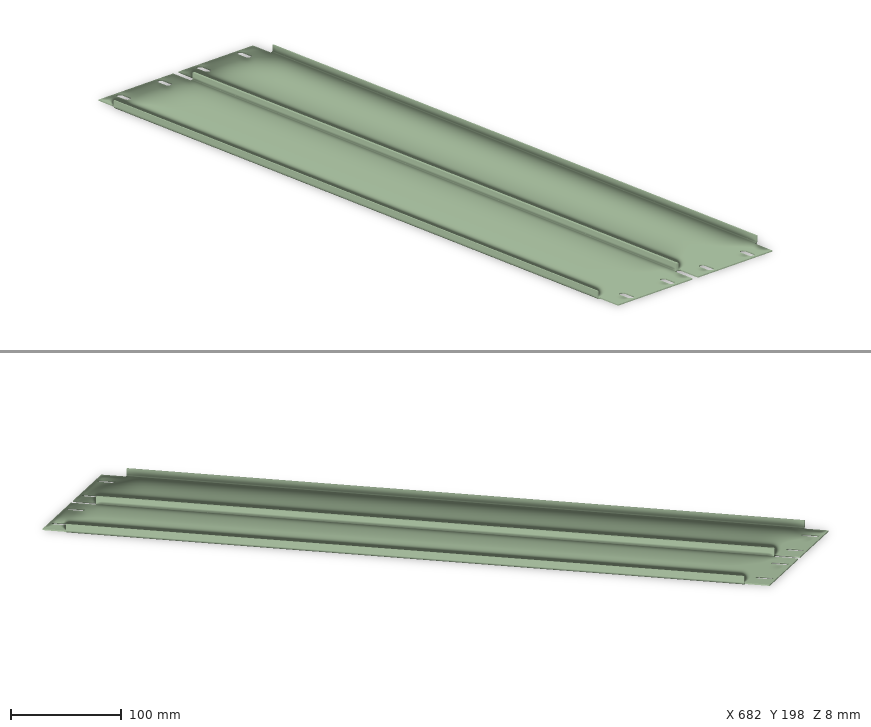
import cadquery as cq

panel_length = 682.0
pair_width = 198.0
lip_height = 8.0
panel_width = pair_width / 2

sheet_thickness = 1.2
bend_outer_radius = 2.25
bend_inner_radius = bend_outer_radius - sheet_thickness

notch_length = 23.0
notch_depth = 3.5
lip_length = panel_length - 2 * notch_length

slot_length = 16.5
slot_width = 7.0
slot_edge_distance = 11.0
slot_pitch_x = panel_length - 2 * slot_edge_distance
slot_pitch_y = 50.5


def folded_channel():
    """Shallow channel along X: a flat web with a rounded upward lip on each long side."""
    channel = (
        cq.Workplane("XY")
        .box(lip_length, panel_width, lip_height, centered=(True, True, False))
        .edges("|X and <Z")
        .fillet(bend_outer_radius)
    )
    inside = (
        cq.Workplane("XY")
        .workplane(offset=sheet_thickness)
        .box(lip_length, panel_width - 2 * sheet_thickness, lip_height, centered=(True, True, False))
        .edges("|X and <Z")
        .fillet(bend_inner_radius)
    )
    return channel.cut(inside)


def mounting_plate():
    """Flat full-length sheet, narrower than the channel by the corner notches."""
    plate_width = panel_width - 2 * notch_depth
    return cq.Workplane("XY").box(
        panel_length, plate_width, sheet_thickness, centered=(True, True, False)
    )


def mounting_slots():
    """Cutters for the four slots near the panel corners."""
    return (
        cq.Workplane("XY")
        .rarray(slot_pitch_x, slot_pitch_y, 2, 2)
        .slot2D(slot_length, slot_width)
        .extrude(sheet_thickness)
    )


def blanking_panel(center_y):
    """One complete panel centred at the given Y."""
    panel = folded_channel().union(mounting_plate()).cut(mounting_slots())
    return panel.translate((0, center_y, 0))


panels = []
for side in (-1, 1):
    panels.append(blanking_panel(side * panel_width / 2))

result = cq.Compound.makeCompound([panel.solids().val() for panel in panels])